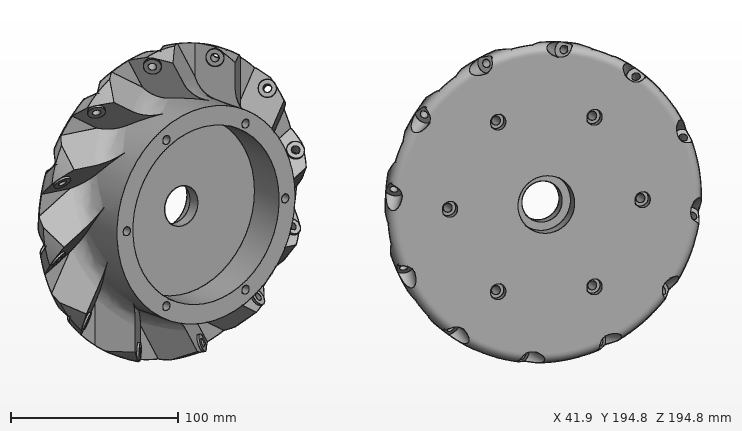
import cadquery as cq
import math

outer_radius = 97.4
width = 41.9
rim_rounding = 6.0
disc_thickness = 4.3

hub_radius = 134.0 / 2
hub_bore_diameter = 110.0
floor_thickness = 17.5
axle_hole_diameter = 25.0
bearing_diameter = 35.0
bearing_depth = 9.7

bolt_count = 6
bolt_circle_radius = 59.6
bolt_hole_diameter = 5.5
bolt_head_diameter = 9.5
bolt_head_depth = 5.0

arm_count = 12
roller_axis_radius = 86.5
arm_face_offset = 41.0
boss_height = 1.4
boss_diameter = 11.0
pin_hole_diameter = 5.0
pin_head_diameter = 11.7
pin_head_offset = 50.0
arm_wall_offset = 12.0
wall_fillet = 16.5
arm_corner_height = -3.0
arm_root_height = -70.9
arm_crown_radius = 68.2
arm_corner_angle = 43.0
arm_crest_angle = 14.0

reach = 116.9


def disc_x(radius, start, length):
    """Cylinder along X from `start` to `start + length`."""
    return cq.Workplane("YZ").workplane(offset=start).circle(radius).extrude(length)


def rounded_rim():
    """Outer limit of the wheel: a full-width drum with a rounded front edge."""
    return disc_x(outer_radius, 0, width).faces("<X").edges().fillet(rim_rounding)


def roller_plane(along):
    """Plane square to a roller axis; local x is the skew direction, local y points radially out."""
    plane = cq.Plane(origin=(width, -roller_axis_radius, 0), xDir=(1, 0, 1), normal=(1, 0, -1))
    return cq.Workplane(plane).workplane(offset=along)


def around_axis(shape, count):
    """Copies of a shape, equally spaced around the X axis."""
    return [shape.rotate((0, 0, 0), (1, 0, 0), 360 / count * i) for i in range(count)]


def crown_point(angle):
    """Point of the crown arc whose normal leans `angle` degrees from radial."""
    turn = math.radians(angle)
    corner_turn = math.radians(arm_corner_angle)
    return (
        arm_wall_offset + arm_crown_radius * (math.sin(turn) - math.sin(corner_turn)),
        arm_corner_height + arm_crown_radius * (math.cos(turn) - math.cos(corner_turn)),
    )


def make_arm():
    wall = (
        roller_plane(-2 * reach)
        .center(arm_wall_offset - 2 * reach, -roller_axis_radius)
        .rect(4 * reach, 4 * reach)
        .extrude(4 * reach)
    )
    hub = disc_x(hub_radius, -reach, 3 * reach)
    blended = hub.union(wall).edges("%ELLIPSE").fillet(wall_fillet)

    outline = (
        roller_plane(-arm_face_offset)
        .moveTo(arm_wall_offset - reach, arm_root_height)
        .lineTo(arm_wall_offset + wall_fillet, arm_root_height)
        .lineTo(arm_wall_offset + wall_fillet, arm_corner_height)
        .lineTo(*crown_point(arm_corner_angle))
        .threePointArc(crown_point((arm_corner_angle + arm_crest_angle) / 2), crown_point(arm_crest_angle))
        .lineTo(arm_wall_offset - reach, crown_point(arm_crest_angle)[1])
        .close()
        .extrude(-reach / 2)
    )
    return blended.intersect(outline).intersect(rounded_rim())


def make_body():
    disc = rounded_rim().intersect(disc_x(outer_radius, 0, disc_thickness))
    body = disc.union(disc_x(hub_radius, 0, width))
    for arm in around_axis(make_arm(), arm_count):
        body = body.union(arm)
    return body


def add_roller_mounts(body):
    boss = roller_plane(-arm_face_offset).circle(boss_diameter / 2).extrude(boss_height)
    pin_hole = roller_plane(-reach / 2).circle(pin_hole_diameter / 2).extrude(reach / 4)
    head_recess = roller_plane(-pin_head_offset).circle(pin_head_diameter / 2).extrude(-reach / 4)
    for shape in around_axis(boss, arm_count):
        body = body.union(shape)
    for shape in around_axis(pin_hole.union(head_recess), arm_count):
        body = body.cut(shape)
    return body


def cut_bores(body):
    body = body.cut(disc_x(hub_bore_diameter / 2, floor_thickness, width))
    body = body.cut(disc_x(axle_hole_diameter / 2, 0, width))
    body = body.cut(disc_x(bearing_diameter / 2, 0, bearing_depth))
    bolt = disc_x(bolt_hole_diameter / 2, 0, width).union(disc_x(bolt_head_diameter / 2, 0, bolt_head_depth))
    bolt = bolt.translate((0, bolt_circle_radius, 0))
    for shape in around_axis(bolt, bolt_count):
        body = body.cut(shape)
    return body


result = cut_bores(add_roller_mounts(make_body()))